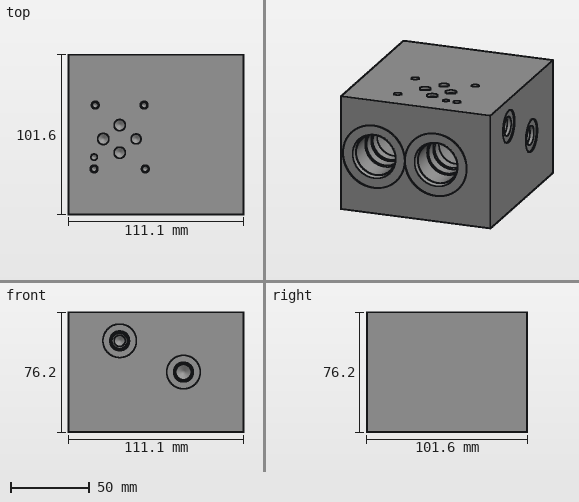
import cadquery as cq
import math

BLOCK_X = 111.12
BLOCK_Y = 101.6
BLOCK_Z = 76.2
MID_HEIGHT = BLOCK_Z / 2

DRILL_POINT_ANGLE = 118.0
SPOTFACE_DEPTH = 0.79

LARGE_SPOTFACE_DIA = 42.04
LARGE_MOUTH_DIA = 29.2
LARGE_SEAT_DIA = 27.43
LARGE_SEAT_DEPTH = 4.1
LARGE_THREAD_DIA = 26.99
LARGE_THREAD_DEPTH = 20.0
LARGE_MINOR_DIA = 24.92
LARGE_MINOR_DEPTH = 28.0
LARGE_DRILL_DIA = 23.01
LARGE_DRILL_DEPTH = 36.0
TANK_PORT_Y = 79.375
PORT_PITCH = 42.07
PRESSURE_PORT_Y = TANK_PORT_Y - PORT_PITCH

GAUGE_SPOTFACE_DIA = 21.29
GAUGE_MOUTH_DIA = 12.5
GAUGE_SEAT_DIA = 11.3
GAUGE_SEAT_DEPTH = 3.2
GAUGE_THREAD_DIA = 11.12
GAUGE_THREAD_DEPTH = 12.0
GAUGE_MINOR_DIA = 9.88
GAUGE_MINOR_DEPTH = 14.0
GAUGE_DRILL_DIA = 7.14
GAUGE_DRILL_DEPTH = 20.0
GAUGE_P_X = 73.0
GAUGE_B_Z = 57.95

PATTERN_X = 17.0
PATTERN_Y = 69.5
SCREW_POSITIONS = [(0, 0), (0, 31.0), (40.5, -0.75), (40.5, 31.75)]
SCREW_THREAD_DIA = 4.83
SCREW_THREAD_DEPTH = 12.0
SCREW_DRILL_DIA = 3.79
SCREW_DRILL_DEPTH = 15.0
PIN_POSITION = (33.0, -0.75)
PIN_DIA = 4.0
PIN_DEPTH = 6.0
PORT_A_POSITION = (12.7, 15.5)
PORT_B_POSITION = (30.2, 15.5)
PORT_T_POSITION = (21.5, 5.1)
PORT_P_POSITION = (21.5, 25.9)
VALVE_PORT_DIA = 7.14
VALVE_PORT_P_DIA = 6.35
VALVE_PORT_DEPTH = 2.0

GAUGE_B_X = PATTERN_X + PORT_B_POSITION[1]


def cone_height(large_dia, small_dia=0.0):
    """Height of the drill-point cone between two diameters."""
    half_angle = math.radians(DRILL_POINT_ANGLE / 2)
    return (large_dia - small_dia) / 2 / math.tan(half_angle)


def turned_cutter(steps, position, direction):
    """Cutter revolved from (diameter, depth) steps, ended by a drill point.

    The cutter starts on a face at `position` and goes into the block along `direction`.
    """
    last_dia, last_depth = steps[-1]
    outline = [(0, 0)]
    outline += [(dia / 2, depth) for dia, depth in steps]
    outline.append((0, last_depth + cone_height(last_dia)))
    profile = cq.Workplane("XY").polyline(outline).close()
    cutter = profile.revolve(360, (0, 0, 0), (0, 1, 0)).val()
    drill_axis = cq.Vector(*direction)
    side_axis = cq.Vector(0, 0, 1) if drill_axis.z == 0 else cq.Vector(1, 0, 0)
    normal = side_axis.cross(drill_axis)
    return cutter.moved(cq.Plane(position, side_axis, normal).location)


def threaded_port_steps(
    spotface_dia, mouth_dia, seat_dia, seat_depth,
    thread_dia, thread_depth, minor_dia, minor_depth,
):
    """Spotface, tapered seal seat, thread at its major diameter and bore at its minor diameter."""
    return [
        (spotface_dia, 0),
        (spotface_dia, SPOTFACE_DEPTH),
        (mouth_dia, SPOTFACE_DEPTH),
        (seat_dia, seat_depth),
        (thread_dia, seat_depth),
        (thread_dia, thread_depth),
        (minor_dia, thread_depth),
        (minor_dia, minor_depth),
    ]


def drilled_extension(bore_dia, bore_depth, drill_dia, drill_depth):
    """Narrower drill that continues beyond a wider bore."""
    return [(drill_dia, bore_depth + cone_height(bore_dia, drill_dia)), (drill_dia, drill_depth)]


def large_port(y):
    steps = threaded_port_steps(
        LARGE_SPOTFACE_DIA, LARGE_MOUTH_DIA, LARGE_SEAT_DIA, LARGE_SEAT_DEPTH,
        LARGE_THREAD_DIA, LARGE_THREAD_DEPTH, LARGE_MINOR_DIA, LARGE_MINOR_DEPTH,
    )
    steps += drilled_extension(LARGE_MINOR_DIA, LARGE_MINOR_DEPTH, LARGE_DRILL_DIA, LARGE_DRILL_DEPTH)
    return turned_cutter(steps, (0, y, MID_HEIGHT), (1, 0, 0))


def gauge_port(x, z, has_extension):
    steps = threaded_port_steps(
        GAUGE_SPOTFACE_DIA, GAUGE_MOUTH_DIA, GAUGE_SEAT_DIA, GAUGE_SEAT_DEPTH,
        GAUGE_THREAD_DIA, GAUGE_THREAD_DEPTH, GAUGE_MINOR_DIA, GAUGE_MINOR_DEPTH,
    )
    if has_extension:
        steps += drilled_extension(GAUGE_MINOR_DIA, GAUGE_MINOR_DEPTH, GAUGE_DRILL_DIA, GAUGE_DRILL_DEPTH)
    return turned_cutter(steps, (x, 0, z), (0, 1, 0))


def top_hole(pattern_position, steps):
    u, v = pattern_position
    return turned_cutter(steps, (PATTERN_X + v, PATTERN_Y - u, BLOCK_Z), (0, 0, -1))


def screw_hole(pattern_position):
    """Threaded screw hole with its tap drill continuing below the thread."""
    steps = [
        (SCREW_THREAD_DIA, 0),
        (SCREW_THREAD_DIA, SCREW_THREAD_DEPTH),
        (SCREW_DRILL_DIA, SCREW_THREAD_DEPTH),
        (SCREW_DRILL_DIA, SCREW_DRILL_DEPTH),
    ]
    return top_hole(pattern_position, steps)


def plain_hole(pattern_position, dia, depth):
    return top_hole(pattern_position, [(dia, 0), (dia, depth)])


block = cq.Workplane("XY").box(BLOCK_X, BLOCK_Y, BLOCK_Z, centered=False)

cutters = [large_port(TANK_PORT_Y), large_port(PRESSURE_PORT_Y)]
cutters.append(gauge_port(GAUGE_B_X, GAUGE_B_Z, has_extension=True))
cutters.append(gauge_port(GAUGE_P_X, MID_HEIGHT, has_extension=False))
for screw_position in SCREW_POSITIONS:
    cutters.append(screw_hole(screw_position))
cutters.append(plain_hole(PIN_POSITION, PIN_DIA, PIN_DEPTH))
for port_position in (PORT_A_POSITION, PORT_B_POSITION, PORT_T_POSITION):
    cutters.append(plain_hole(port_position, VALVE_PORT_DIA, VALVE_PORT_DEPTH))
cutters.append(plain_hole(PORT_P_POSITION, VALVE_PORT_P_DIA, VALVE_PORT_DEPTH))

result = block
for cutter in cutters:
    result = result.cut(cq.Workplane(obj=cutter))